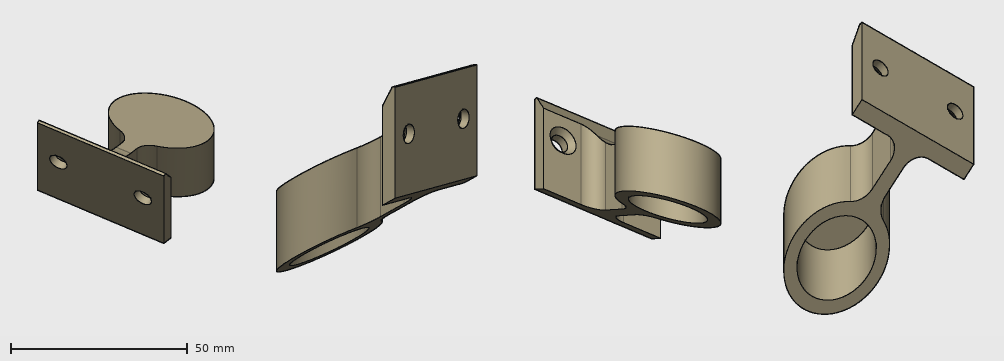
import cadquery as cq
import math

total_height = 62.0
total_depth = 51.95

plate_width = 40.5
plate_thickness = 4.45
hole_diameter = 5.5
hole_spacing = 27.05
hole_drop = 14.5
countersink_depth = 1.75

tube_radius = 15.0
tube_height = 23.05
tube_wall = 3.8
cap_thickness = 2.0
web_thickness = 4.65
plate_fillet = 5.0
tube_fillet = 6.0

slope = math.radians(30)
steep_slope = math.radians(60)
top_land = 1.05
blend_radius = 20.0

tube_y = total_depth - tube_radius
half_plate = plate_width / 2
half_web = web_thickness / 2
bottom_front_z = total_depth * math.tan(slope)
gentle_line_z = tube_height + bottom_front_z
steep_line_z = total_height + top_land * math.tan(steep_slope)
corner_y = (steep_line_z - gentle_line_z) / (math.tan(steep_slope) - math.tan(slope))
corner_z = gentle_line_z - corner_y * math.tan(slope)


def plan_body():
    """Plate, filleted web and round tube seen in plan, extruded to full height."""
    center_x = half_web + tube_fillet
    center_distance = tube_radius + tube_fillet
    center_y = tube_y - math.sqrt(center_distance**2 - center_x**2)
    tube_share = tube_radius / center_distance
    contact_x = center_x * tube_share
    contact_y = tube_y + (center_y - tube_y) * tube_share
    end_angle = math.atan2(contact_y - center_y, contact_x - center_x)
    mid_angle = (math.pi + end_angle) / 2
    tube_mid_x = center_x + tube_fillet * math.cos(mid_angle)
    tube_mid_y = center_y + tube_fillet * math.sin(mid_angle)

    plate_mid = plate_fillet * (1 - math.sqrt(0.5))
    plate_mid_x = half_web + plate_mid
    plate_mid_y = plate_thickness + plate_mid
    foot_x = half_web + plate_fillet
    neck_y = plate_thickness + plate_fillet
    return (
        cq.Workplane("XY")
        .moveTo(-half_plate, 0)
        .lineTo(half_plate, 0)
        .lineTo(half_plate, plate_thickness)
        .lineTo(foot_x, plate_thickness)
        .threePointArc((plate_mid_x, plate_mid_y), (half_web, neck_y))
        .lineTo(half_web, center_y)
        .threePointArc((tube_mid_x, tube_mid_y), (contact_x, contact_y))
        .threePointArc((0, total_depth), (-contact_x, contact_y))
        .threePointArc((-tube_mid_x, tube_mid_y), (-half_web, center_y))
        .lineTo(-half_web, neck_y)
        .threePointArc((-plate_mid_x, plate_mid_y), (-foot_x, plate_thickness))
        .lineTo(-half_plate, plate_thickness)
        .close()
        .extrude(total_height)
    )


def side_envelope():
    """Sloping side outline, extruded across the plate width, with its top bend blended."""
    return (
        cq.Workplane("YZ")
        .moveTo(0, bottom_front_z)
        .lineTo(total_depth, 0)
        .lineTo(total_depth, tube_height)
        .lineTo(corner_y, corner_z)
        .lineTo(top_land, total_height)
        .lineTo(0, total_height)
        .close()
        .extrude(half_plate, both=True)
        .edges(cq.selectors.NearestToPointSelector((0, corner_y, corner_z)))
        .fillet(blend_radius)
    )


def tube_bore():
    """Blind bore from below, ending parallel to the sloping top."""
    below_cap = (
        cq.Workplane("YZ")
        .moveTo(0, 0)
        .lineTo(total_depth, 0)
        .lineTo(total_depth, tube_height - cap_thickness / math.cos(slope))
        .lineTo(0, gentle_line_z - cap_thickness / math.cos(slope))
        .close()
        .extrude(tube_radius, both=True)
    )
    bore = (
        cq.Workplane("XY")
        .center(0, tube_y)
        .circle(tube_radius - tube_wall)
        .extrude(total_height)
    )
    return bore.intersect(below_cap)


def plate_hole(x):
    """Hole through the plate, countersunk at 90 degrees from the back."""
    hole_radius = hole_diameter / 2
    countersink_start = plate_thickness - countersink_depth
    return (
        cq.Workplane("XY")
        .lineTo(hole_radius, 0)
        .lineTo(hole_radius, countersink_start)
        .lineTo(hole_radius + countersink_depth, plate_thickness)
        .lineTo(0, plate_thickness)
        .close()
        .revolve(360, (0, 0, 0), (0, 1, 0))
        .translate((x, 0, total_height - hole_drop))
    )


body = plan_body().intersect(side_envelope())
body = body.cut(tube_bore())
for side in (-1, 1):
    body = body.cut(plate_hole(side * hole_spacing / 2))

result = body.translate((0, -tube_y, 0))